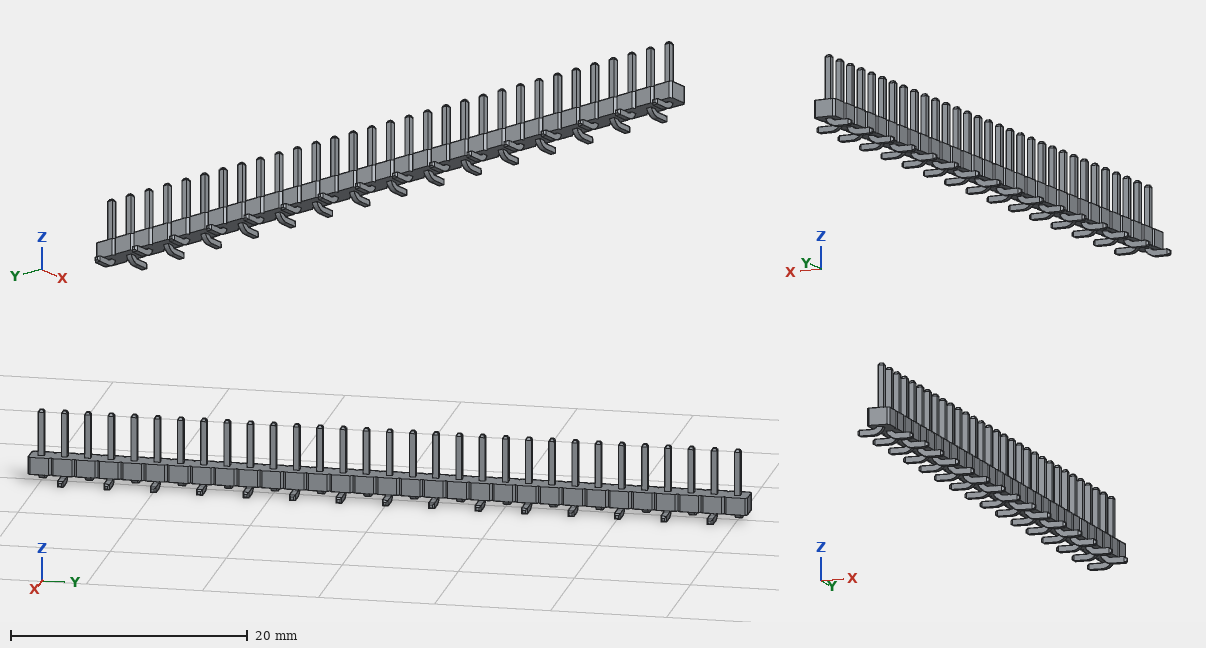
import cadquery as cq

pin_count = 31
pitch = 2.0

pin_positions = [(i - (pin_count - 1) / 2) * pitch for i in range(pin_count)]

body_width = 2.0
body_length = pin_count * pitch
body_bottom = 0.7
body_height = 1.5
corner_chamfer = 0.2

pin_size = 0.5
pin_top = 6.2
foot_reach = 2.1
tip_length = 0.2
tip_inset = 0.125
inner_bend_radius = 0.5
outer_bend_radius = inner_bend_radius + pin_size


def make_housing():
    """Prism with chamfered ends and a V-notch on both long sides between neighbouring pins."""
    half_width = body_width / 2
    neck = half_width - corner_chamfer
    right_side = []
    for y in pin_positions:
        right_side.append((neck, y - pitch / 2))
        right_side.append((half_width, y - pitch / 2 + corner_chamfer))
        right_side.append((half_width, y + pitch / 2 - corner_chamfer))
    right_side.append((neck, body_length / 2))
    left_side = [(-x, y) for x, y in reversed(right_side)]
    return (
        cq.Workplane("XY", origin=(0, 0, body_bottom))
        .polyline(right_side + left_side)
        .close()
        .extrude(body_height)
    )


def make_tip(base_plane):
    """Four-sided tapered end that starts at the pin's full section."""
    end_size = pin_size - 2 * tip_inset
    return (
        cq.Workplane(base_plane)
        .rect(pin_size, pin_size)
        .workplane(offset=tip_length)
        .rect(end_size, end_size)
        .loft()
    )


def make_pin():
    """Square pin standing on the Z axis, with its foot bent toward -X at Z = 0."""
    half = pin_size / 2
    post_end = pin_top - tip_length
    foot_end = -(foot_reach - tip_length)
    shank = (
        cq.Workplane("XZ")
        .moveTo(half, post_end)
        .lineTo(half, outer_bend_radius)
        .radiusArc((half - outer_bend_radius, 0), outer_bend_radius)
        .lineTo(foot_end, 0)
        .lineTo(foot_end, pin_size)
        .lineTo(-half - inner_bend_radius, pin_size)
        .radiusArc((-half, pin_size + inner_bend_radius), -inner_bend_radius)
        .lineTo(-half, post_end)
        .close()
        .extrude(half, both=True)
    )
    post_tip = make_tip(cq.Plane(origin=(0, 0, post_end), xDir=(1, 0, 0), normal=(0, 0, 1)))
    foot_tip = make_tip(cq.Plane(origin=(foot_end, 0, half), xDir=(0, 1, 0), normal=(-1, 0, 0)))
    return shank.union(post_tip).union(foot_tip)


left_pin = make_pin()
right_pin = left_pin.rotate((0, 0, 0), (0, 0, 1), 180)

all_pins = cq.Workplane("XY")
for i, y in enumerate(pin_positions):
    pin = left_pin if i % 2 == 0 else right_pin
    all_pins = all_pins.add(pin.translate((0, y, 0)))

result = make_housing().union(all_pins.combine())